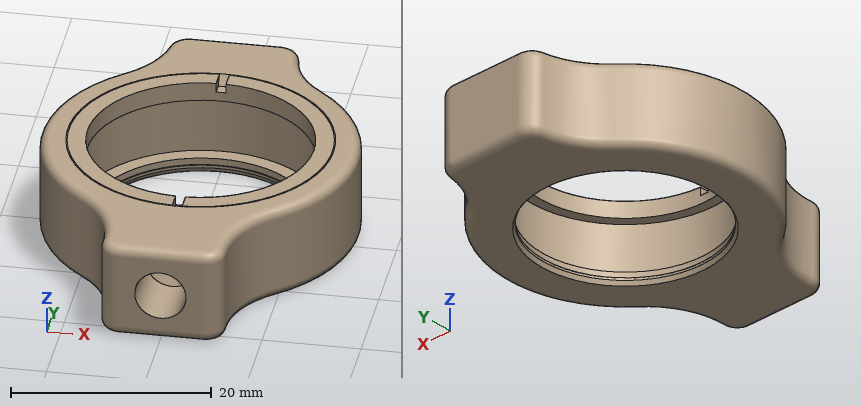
import cadquery as cq
import math

height = 10.0
body_radius = 16.005
flank_radius = 10.0
corner_radius = 2.0
rim_radius = 1.0
back_end_y = 20.45
front_end_y = back_end_y - 43.2
back_flank_x = 16.45
front_half_width = 6.242

drill_radius = 2.6
drill_depth = 6.5
drill_point_angle = 118.0

seat_radius = 12.65
lip_radius = 10.97
lip_height = 0.8
lip_chamfer_height = 0.5
lip_chamfer_width = 0.25
mouth_radius = 13.45
mouth_depth = 1.0

spacer_radius = 11.1
spacer_thickness = 0.75

retainer_radius = 11.45
retainer_thickness = 2.0
retainer_gap = 0.15
slot_width = 1.0
slot_depth = 1.0


def flank_points(side, flank_x, end_y):
    """Tangent point on the body, arc midpoint and tab end of the +X flank; side is +1 or -1 in Y."""
    reach = body_radius + flank_radius
    centre_y = math.sqrt(reach**2 - flank_x**2)
    start_angle = math.pi + math.atan2(centre_y, flank_x)
    overrun = abs(end_y) - centre_y
    end_angle = math.pi - math.asin(min(overrun, 0.0) / flank_radius)

    def on_arc(angle):
        return (flank_x + flank_radius * math.cos(angle), side * (centre_y + flank_radius * math.sin(angle)))

    tab_arc_end = on_arc(end_angle)
    return on_arc(start_angle), on_arc((start_angle + end_angle) / 2), tab_arc_end


def mirrored(point):
    """The same point on the -X side."""
    return (-point[0], point[1])


def revolved(profile):
    """Solid of revolution about Z from (radius, height) points."""
    return cq.Workplane("XZ").polyline(profile).close().revolve(360, (0, 0), (0, 1))


def make_outer_block():
    back_start, back_mid, back_stop = flank_points(1, back_flank_x, back_end_y)
    front_start, front_mid, front_stop = flank_points(-1, front_half_width + flank_radius, front_end_y)
    back_corner = (back_stop[0], back_end_y)
    front_corner = (front_stop[0], front_end_y)
    outline = (
        cq.Workplane("XY")
        .moveTo(*front_corner)
        .lineTo(*front_stop)
        .threePointArc(front_mid, front_start)
        .threePointArc((body_radius, 0), back_start)
        .threePointArc(back_mid, back_stop)
        .lineTo(*back_corner)
        .lineTo(*mirrored(back_corner))
        .lineTo(*mirrored(back_stop))
        .threePointArc(mirrored(back_mid), mirrored(back_start))
        .threePointArc((-body_radius, 0), mirrored(front_start))
        .threePointArc(mirrored(front_mid), mirrored(front_stop))
        .lineTo(*mirrored(front_corner))
        .close()
    )
    block = outline.extrude(height)
    corners = block.faces("<Y or >Y").edges("|Z")
    block = corners.fillet(corner_radius)
    return block.faces("<Z or >Z").edges().fillet(rim_radius)


def make_bore():
    return revolved([
        (0, 0),
        (lip_radius + lip_chamfer_width, 0),
        (lip_radius, lip_chamfer_height),
        (lip_radius, lip_height),
        (seat_radius, lip_height),
        (seat_radius, height - mouth_depth),
        (mouth_radius, height),
        (0, height),
    ])


def make_drilled_hole():
    point_length = drill_radius / math.tan(math.radians(drill_point_angle / 2))
    bottom_y = front_end_y + drill_depth
    axis_start = (0, front_end_y)
    axis_end = (0, bottom_y + point_length)
    hole = (
        cq.Workplane("XY")
        .polyline([axis_start, (drill_radius, front_end_y), (drill_radius, bottom_y), axis_end])
        .close()
        .revolve(360, axis_start, axis_end)
    )
    return hole.translate((0, 0, height / 2))


def make_housing():
    return make_outer_block().cut(make_bore()).cut(make_drilled_hole())


def make_spacer():
    top = lip_height + spacer_thickness
    return revolved([
        (spacer_radius, lip_height),
        (seat_radius, lip_height),
        (seat_radius, top),
        (spacer_radius, top),
    ])


def make_retainer():
    bottom = height - retainer_thickness
    ring = revolved([
        (retainer_radius, bottom),
        (seat_radius, bottom),
        (seat_radius, height - mouth_depth),
        (mouth_radius - retainer_gap, height),
        (retainer_radius, height),
    ])
    slot_bar = cq.Workplane("XY").box(slot_width, 2 * mouth_radius, slot_depth, centered=(True, True, False))
    return ring.cut(slot_bar.translate((0, 0, height - slot_depth)))


housing = make_housing()
spacer = make_spacer()
retainer = make_retainer()

result = cq.Compound.makeCompound([housing.val(), spacer.val(), retainer.val()])